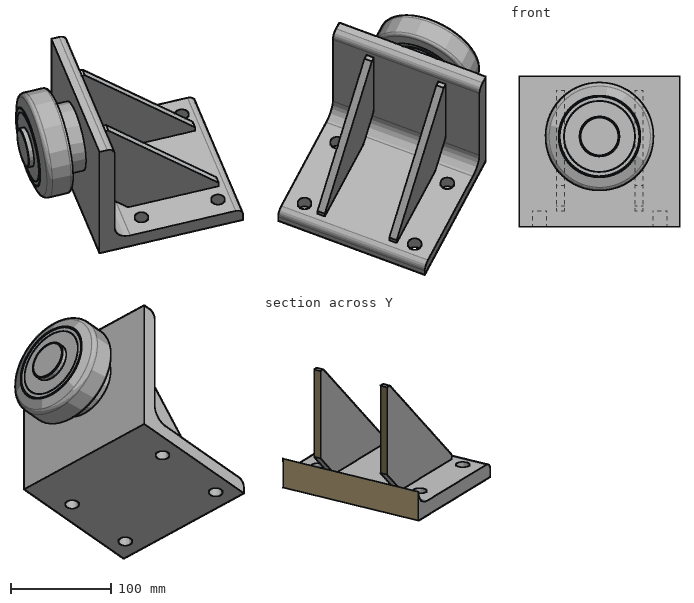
import cadquery as cq
import math


bracket_length = 160.0
leg = 150.0
leg_thickness = 16.0
root_radius = leg_thickness
toe_radius = leg_thickness / 2

hole_diameter = 13.7
hole_spacing_x = 120.1
hole_spacing_y = 80.0
hole_to_toe = 20.0

gusset_thickness = 8.0
gusset_offset = 39.2
gusset_reach = 136.1
gusset_nose = 5.0
gusset_notch = 25.5

roller_height = 90.0
roller_diameter = 107.6
roller_back = 18.5
roller_front = 49.5
roller_face_diameter = 81.5
roller_cone_angle = 20.0
roller_back_radius = 3.0
roller_front_radius = 5.1
rim_search = 0.5

sleeve_diameter = 79.0
sleeve_bore = 71.0
neck_diameter = sleeve_bore
neck_length = 17.8
journal_diameter = 70.5
pin_diameter = 40.0
pin_end = 205.0 - leg
pin_chamfer_width = 1.2
pin_chamfer_depth = 0.5


def roller_plane(distance):
    """Plane across the roller axis, at a distance out from the mounting face."""
    return cq.Workplane("XZ", origin=(0, -distance, roller_height))


def make_bracket():
    """L-section with a rounded root and toes, and four mounting holes."""
    profile = [
        (0, 0),
        (leg, 0),
        (leg, leg_thickness),
        (leg_thickness, leg_thickness),
        (leg_thickness, leg),
        (0, leg),
    ]
    body = cq.Workplane("YZ").polyline(profile).close().extrude(bracket_length / 2, both=True)
    root = cq.selectors.NearestToPointSelector((0, leg_thickness, leg_thickness))
    body = body.edges("|X").edges(root).fillet(root_radius)
    for toe in [(0, leg, leg_thickness), (0, leg_thickness, leg)]:
        body = body.edges("|X").edges(cq.selectors.NearestToPointSelector(toe)).fillet(toe_radius)

    hole_center_y = leg - hole_to_toe - hole_spacing_y / 2
    holes = (
        cq.Workplane("XY")
        .center(0, hole_center_y)
        .rarray(hole_spacing_x, hole_spacing_y, 2, 2)
        .circle(hole_diameter / 2)
        .extrude(leg_thickness)
    )
    return body.cut(holes)


def make_gusset(x):
    """Triangular plate centred on x, with its inner corner cut clear of the root."""
    inner = leg_thickness
    nose = leg_thickness + gusset_nose
    profile = [
        (inner + gusset_notch, inner),
        (gusset_reach, inner),
        (gusset_reach, nose),
        (nose, gusset_reach),
        (inner, gusset_reach),
        (inner, inner + gusset_notch),
    ]
    plate = cq.Workplane("YZ").polyline(profile).close().extrude(gusset_thickness / 2, both=True)
    return plate.translate((x, 0, 0))


def make_outer_ring():
    """Rolling ring with a conical front shoulder and rounded rims."""
    outer = roller_diameter / 2
    bore = sleeve_diameter / 2
    face = roller_face_diameter / 2
    cone_depth = (outer - face) * math.tan(math.radians(roller_cone_angle))
    cone_start = roller_front - cone_depth
    profile = [
        (bore, -roller_back),
        (outer, -roller_back),
        (outer, -cone_start),
        (face, -roller_front),
        (bore, -roller_front),
    ]
    ring = cq.Workplane("XY").polyline(profile).close().revolve(360, (0, 0, 0), (0, 1, 0))
    ring = ring.translate((0, 0, roller_height))
    rims = [(roller_back, roller_back_radius), (cone_start, roller_front_radius)]
    for distance, radius in rims:
        rim_zone = cq.selectors.BoxSelector(
            (-outer, -distance - rim_search, roller_height - outer),
            (outer, -distance + rim_search, roller_height + outer),
            boundingbox=False,
        )
        widest = cq.selectors.RadiusNthSelector(-1)
        ring = ring.edges("%CIRCLE").edges(rim_zone).edges(widest).fillet(radius)
    return ring


def make_sleeve():
    """Plain ring filling the bore of the outer ring, flush with both faces."""
    section = roller_plane(roller_back).circle(sleeve_diameter / 2).circle(sleeve_bore / 2)
    return section.extrude(roller_front - roller_back)


def make_axle():
    """Neck on the bracket and a slightly smaller journal, bored for the pin."""
    neck = roller_plane(0).circle(neck_diameter / 2).extrude(neck_length)
    journal = roller_plane(neck_length).circle(journal_diameter / 2).extrude(roller_front - neck_length)
    pin_bore = roller_plane(roller_back).circle(pin_diameter / 2).extrude(roller_front - roller_back)
    return neck.union(journal).cut(pin_bore)


def make_pin():
    """Pin seated in the axle, standing proud of the roller, with a shallow chamfered end."""
    radius = pin_diameter / 2
    profile = [
        (0, -roller_back),
        (radius, -roller_back),
        (radius, -pin_end + pin_chamfer_depth),
        (radius - pin_chamfer_width, -pin_end),
        (0, -pin_end),
    ]
    pin = cq.Workplane("XY").polyline(profile).close().revolve(360, (0, 0, 0), (0, 1, 0))
    return pin.translate((0, 0, roller_height))


bracket = make_bracket()
gussets = [make_gusset(side * gusset_offset) for side in (-1, 1)]
outer_ring = make_outer_ring()
sleeve = make_sleeve()
axle = make_axle()
pin = make_pin()

result = cq.Compound.makeCompound([
    bracket.val(),
    *[gusset.val() for gusset in gussets],
    outer_ring.val(),
    sleeve.val(),
    axle.val(),
    pin.val(),
])